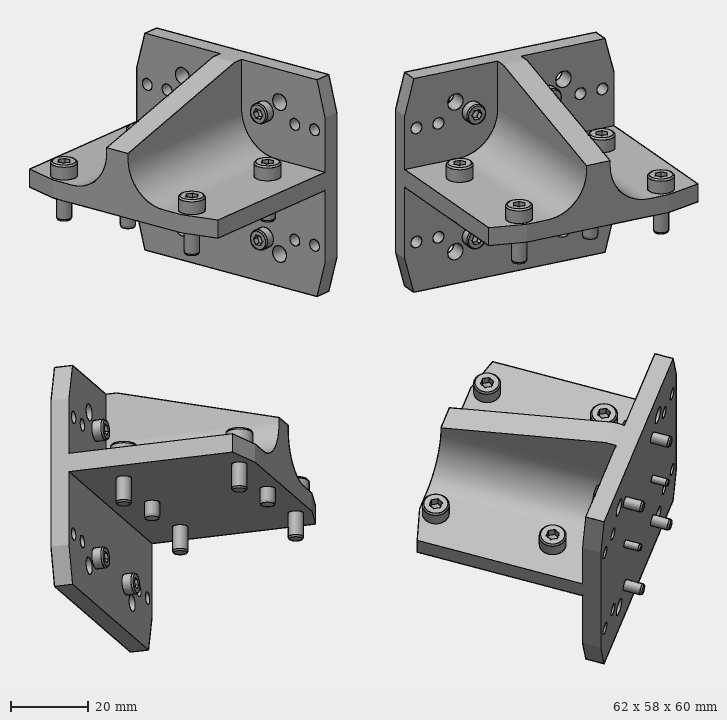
import cadquery as cq
import math

plate_width = 62.0
plate_height = 60.0
wall = 5.0

corner_long = 10.0
corner_angle = 15.0
corner_short = corner_long * math.tan(math.radians(corner_angle))

shelf_reach = 52.95

rib_width = 7.0
rib_flank_radius = 11.5
rib_flat = 3.0
rib_slope = 15.0

bolt_hole_diameter = 4.5
bolt_hole_x = 16.0
bolt_hole_z = 21.0
small_hole_diameter = 3.2
small_hole_xs = (21.0, 27.5)
small_hole_z = 16.0

plate_screw = dict(
    shank=3.0,
    head=5.5,
    head_height=3.0,
    head_inset=0.25,
    key=2.55,
    socket=1.5,
    stickout=5.0,
)
shelf_screw = dict(
    shank=4.0,
    head=7.0,
    head_height=4.0,
    head_inset=0.4,
    key=3.0,
    socket=2.0,
    stickout=7.0,
)
plate_screw_x = 11.2
plate_screw_z = 17.5
shelf_screw_x = 21.0
shelf_screw_ys = (-16.5, -48.5)

tip_inset = 0.28
bevel_length = 0.5
socket_cone_angle = 30.0

shelf_pin_diameter = 4.0
shelf_pin_straight = 3.6
shelf_pin_taper = 0.7
shelf_pin_taper_angle = 15.0
plate_pin_diameter = 2.0
plate_pin_stickout = 4.4


def make_plate():
    half_width = plate_width / 2
    half_height = plate_height / 2
    outline = [
        (half_width - corner_short, half_height),
        (half_width, half_height - corner_long),
        (half_width, corner_long - half_height),
        (half_width - corner_short, -half_height),
    ]
    outline += [(-x, z) for x, z in reversed(outline)]
    return cq.Workplane("XZ").polyline(outline).close().extrude(wall)


def make_shelf():
    half_width = plate_width / 2
    outline = [
        (-half_width, 0),
        (-half_width, corner_short - shelf_reach),
        (corner_long - half_width, -shelf_reach),
    ]
    outline += [(-x, y) for x, y in reversed(outline)]
    return cq.Workplane("XY").polyline(outline).close().extrude(wall)


def make_rib():
    half_rib = rib_width / 2
    foot = half_rib + rib_flank_radius
    flank_top = wall + rib_flank_radius
    top = plate_height / 2
    arc_offset = rib_flank_radius * math.sqrt(0.5)
    section = (
        cq.Workplane("XZ")
        .moveTo(-foot, 0)
        .lineTo(foot, 0)
        .lineTo(foot, wall)
        .threePointArc((foot - arc_offset, flank_top - arc_offset), (half_rib, flank_top))
        .lineTo(half_rib, top)
        .lineTo(-half_rib, top)
        .lineTo(-half_rib, flank_top)
        .threePointArc((arc_offset - foot, flank_top - arc_offset), (-foot, wall))
        .close()
        .extrude(shelf_reach)
    )
    slope_start = -wall - rib_flat
    slope_drop = (shelf_reach + slope_start) * math.tan(math.radians(rib_slope))
    side_outline = [
        (0, 0),
        (0, top),
        (slope_start, top),
        (-shelf_reach, top - slope_drop),
        (-shelf_reach, 0),
    ]
    side = (
        cq.Workplane("YZ")
        .polyline(side_outline)
        .close()
        .extrude(foot, both=True)
    )
    return section.intersect(side)


def make_pin(diameter, stickout):
    """Pin along +Z from the seat at Z = 0, through the wall, with a bevelled tip."""
    radius = diameter / 2
    tip = wall + stickout
    profile = [(0, 0), (radius, 0), (radius, tip - bevel_length), (radius - tip_inset, tip), (0, tip)]
    return cq.Workplane("XZ").polyline(profile).close().revolve(360, (0, 0), (0, 1))


def make_dowel(diameter, straight, taper, taper_angle):
    """Dowel along +Z from the seat at Z = 0, with a tapered end and a domed tip."""
    radius = diameter / 2
    taper_start = wall + straight
    dome_start = taper_start + taper
    dome_edge = radius - taper * math.tan(math.radians(taper_angle))
    dome_radius = diameter
    dome_centre = dome_start - math.sqrt(dome_radius**2 - dome_edge**2)
    half_angle = math.asin(dome_edge / dome_radius) / 2
    dome_middle = (
        dome_radius * math.sin(half_angle),
        dome_centre + dome_radius * math.cos(half_angle),
    )
    return (
        cq.Workplane("XZ")
        .lineTo(radius, 0)
        .lineTo(radius, taper_start)
        .lineTo(dome_edge, dome_start)
        .threePointArc(dome_middle, (0, dome_centre + dome_radius))
        .close()
        .revolve(360, (0, 0), (0, 1))
    )


def make_screw(shank, head, head_height, head_inset, key, socket, stickout):
    """Screw along +Z with the underside of its head on Z = 0."""
    radius = head / 2
    profile = [
        (0, 0),
        (radius, 0),
        (radius, bevel_length - head_height),
        (radius - head_inset, -head_height),
        (0, -head_height),
    ]
    body = cq.Workplane("XZ").polyline(profile).close().revolve(360, (0, 0), (0, 1))
    corner_radius = key / 2 / math.cos(math.radians(30))
    hexagon = (
        cq.Workplane("XY")
        .workplane(offset=-head_height)
        .polygon(6, 2 * corner_radius)
        .extrude(head_height)
    )
    socket_floor = socket - head_height
    cone_depth = corner_radius * math.tan(math.radians(socket_cone_angle))
    bore_profile = [
        (0, -head_height),
        (corner_radius, -head_height),
        (corner_radius, socket_floor),
        (0, socket_floor + cone_depth),
    ]
    bore = cq.Workplane("XZ").polyline(bore_profile).close().revolve(360, (0, 0), (0, 1))
    return body.union(make_pin(shank, stickout)).cut(hexagon.intersect(bore))


def on_plate(fastener, x, z):
    """Seat a fastener on the front face of the plate, pointing to +Y."""
    return fastener.rotate((0, 0, 0), (1, 0, 0), -90).translate((x, -wall, z))


def on_shelf(fastener, x, y):
    """Seat a fastener on the top face of the shelf, pointing down."""
    return fastener.rotate((0, 0, 0), (1, 0, 0), 180).translate((x, y, wall))


def mirrored(x, z):
    """The four places at plus and minus x and z."""
    return [(sx * x, sz * z) for sx in (-1, 1) for sz in (-1, 1)]


def plate_holes(places, diameter):
    return cq.Workplane("XZ").pushPoints(places).circle(diameter / 2).extrude(wall)


result = make_plate().union(make_shelf()).union(make_rib())

result = result.cut(plate_holes(mirrored(bolt_hole_x, bolt_hole_z), bolt_hole_diameter))
for small_hole_x in small_hole_xs:
    result = result.cut(plate_holes(mirrored(small_hole_x, small_hole_z), small_hole_diameter))

for x, z in mirrored(plate_screw_x, plate_screw_z):
    result = result.union(on_plate(make_screw(**plate_screw), x, z))

for y in shelf_screw_ys:
    for x in (-shelf_screw_x, shelf_screw_x):
        result = result.union(on_shelf(make_screw(**shelf_screw), x, y))
    dowel = make_dowel(shelf_pin_diameter, shelf_pin_straight, shelf_pin_taper, shelf_pin_taper_angle)
    result = result.union(on_shelf(dowel, 0, y))

for x in (-plate_screw_x, plate_screw_x):
    result = result.union(on_plate(make_pin(plate_pin_diameter, plate_pin_stickout), x, 0))